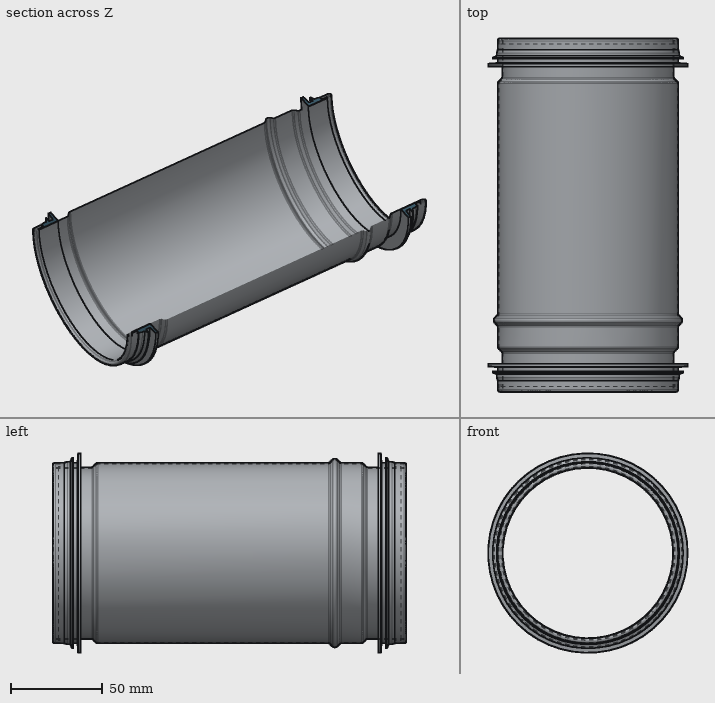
import cadquery as cq
import math

length = 194.0
wall = 0.5
body_radius = 99.05 / 2
neck_radius = 94.25 / 2
slope = math.radians(45)

shoulder_start = 21.8
shoulder_outer_bend = 1.5
shoulder_inner_bend = 1.0

bead_center = 39.3
bead_sharp_height = 3.1
bead_crest_bend = 2.0
bead_foot_bend = 1.0

hem_length = 6.3
hem_bend = (body_radius - (neck_radius - wall)) / 2

tongue_start = 3.2
tongue_radius = 95.45 / 2
collar_radius = 50.1
collar_start = 8.1
low_lip_radius = 104.45 / 2
low_lip_root = 9.7
low_lip_tip = 10.7
low_lip_back = 11.3
high_lip_radius = 109.45 / 2
high_lip_root = 13.6
high_lip_tip = 14.0
seal_end = 15.6


def rounded_path(start, corners, end):
    """Path of straight runs from start to end; each corner is (y, radius, bend radius)."""
    points = [start] + [corner[:2] for corner in corners] + [end]
    path = cq.Workplane("XY").moveTo(start[1], start[0])
    for before, corner, after in zip(points, corners, points[2:]):
        y, r, bend = corner
        in_angle = math.atan2(r - before[1], y - before[0])
        out_angle = math.atan2(after[1] - r, after[0] - y)
        half_turn = (out_angle - in_angle) / 2
        setback = bend * math.tan(abs(half_turn))
        bulge = bend * (1 / math.cos(half_turn) - 1)
        inward = (in_angle + out_angle) / 2 + math.copysign(math.pi / 2, half_turn)
        path = (
            path.lineTo(r - setback * math.sin(in_angle), y - setback * math.cos(in_angle))
            .threePointArc(
                (r + bulge * math.sin(inward), y + bulge * math.cos(inward)),
                (r + setback * math.sin(out_angle), y + setback * math.cos(out_angle)),
            )
        )
    return path.lineTo(end[1], end[0])


def revolve_about_axis(section):
    """Closed section in the XY plane, X being the radius, turned about the Y axis."""
    return section.close().revolve(360, (0, 0, 0), (0, 1, 0))


def pipe_core(inset):
    """Solid bounded by the pipe's outer face moved inward by inset, hems left out."""
    body = body_radius - inset
    neck = neck_radius - inset
    corner_shift = inset * math.tan(slope / 2)
    convex_bend = shoulder_outer_bend - inset
    concave_bend = shoulder_inner_bend + inset

    shoulder_foot = shoulder_start + corner_shift
    shoulder_top = shoulder_foot + (body - neck) / math.tan(slope)
    bead_half = bead_sharp_height / math.tan(slope) - corner_shift
    bead_peak = body + bead_half * math.tan(slope)

    corners = [
        (shoulder_foot, neck, concave_bend),
        (shoulder_top, body, convex_bend),
        (bead_center - bead_half, body, bead_foot_bend + inset),
        (bead_center, bead_peak, bead_crest_bend - inset),
        (bead_center + bead_half, body, bead_foot_bend + inset),
        (length - shoulder_top, body, convex_bend),
        (length - shoulder_foot, neck, concave_bend),
    ]
    outline = rounded_path((hem_bend, neck), corners, (length - hem_bend, neck))
    return revolve_about_axis(outline.lineTo(0, length - hem_bend).lineTo(0, hem_bend))


def hem():
    """End fold: a half-round bend leading to a collar that runs back over the neck."""
    bore = neck_radius - wall
    middle = bore + hem_bend
    section = (
        cq.Workplane("XY")
        .moveTo(bore, hem_bend)
        .threePointArc((middle, 0), (body_radius, hem_bend))
        .lineTo(body_radius, hem_length)
        .lineTo(body_radius - wall, hem_length)
        .lineTo(body_radius - wall, hem_bend)
        .threePointArc((middle, wall), (neck_radius, hem_bend))
    )
    return revolve_about_axis(section)


def seal():
    """Ring on the neck: thin tongue under the hem, conical collar, then two tapered lips."""
    outline = [
        (tongue_start, neck_radius),
        (tongue_start, tongue_radius),
        (hem_length, tongue_radius),
        (hem_length, body_radius),
        (collar_start, collar_radius),
        (low_lip_root, collar_radius),
        (low_lip_tip, low_lip_radius),
        (low_lip_back, low_lip_radius),
        (low_lip_back, body_radius),
        (high_lip_root, body_radius),
        (high_lip_tip, high_lip_radius),
        (seal_end, high_lip_radius),
        (seal_end, neck_radius),
    ]
    return revolve_about_axis(cq.Workplane("XY").polyline([(r, y) for y, r in outline]))


def at_both_ends(ring):
    """The near-end ring and its mirror image at the far end, centred on the origin."""
    near = ring.translate((0, -length / 2, 0))
    return [near, near.mirror("XZ")]


tube = pipe_core(0).cut(pipe_core(wall)).translate((0, -length / 2, 0))
for end_fold in at_both_ends(hem()):
    tube = tube.union(end_fold)

seals = at_both_ends(seal())

result = cq.Compound.makeCompound([tube.val()] + [ring.val() for ring in seals])